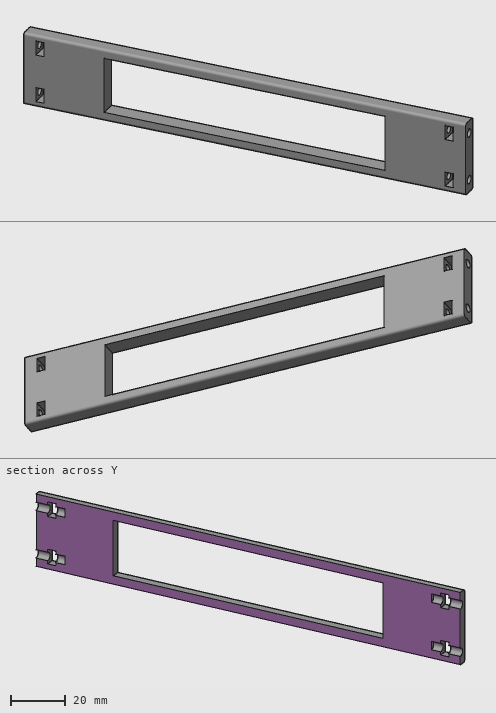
import cadquery as cq

length = 177.0
thickness = 6.5
height = 29.0
edge_radius = 1.0

window_length = 112.4
window_height = 22.0

hole_diameter = 3.2
hole_spacing = 19.0
hole_depth = 12.0
slot_width = 3.2
slot_height = 5.7
slot_inset = 5.0

slot_spacing = length - 2 * slot_inset - slot_width


def make_bar():
    """Flat bar with its four long edges rounded."""
    bar = cq.Workplane("XY").box(length, thickness, height)
    return bar.edges("|X").fillet(edge_radius)


def cut_window(body):
    window = cq.Workplane("XY").box(window_length, thickness, window_height)
    return body.cut(window)


def cut_nut_slots(body):
    """Four slots through the thickness, two near each end."""
    slots = (
        cq.Workplane("XZ")
        .rarray(slot_spacing, hole_spacing, 2, 2)
        .rect(slot_width, slot_height)
        .extrude(thickness / 2, both=True)
    )
    return body.cut(slots)


def cut_end_holes(body):
    """Two blind holes in each end face, running along X past the slots."""
    for end_face in ("<X", ">X"):
        body = (
            body.faces(end_face)
            .workplane(origin=(0, 0, 0))
            .rarray(1.8, hole_spacing, 1, 2)
            .hole(hole_diameter, hole_depth)
        )
    return body


result = cut_end_holes(cut_nut_slots(cut_window(make_bar())))